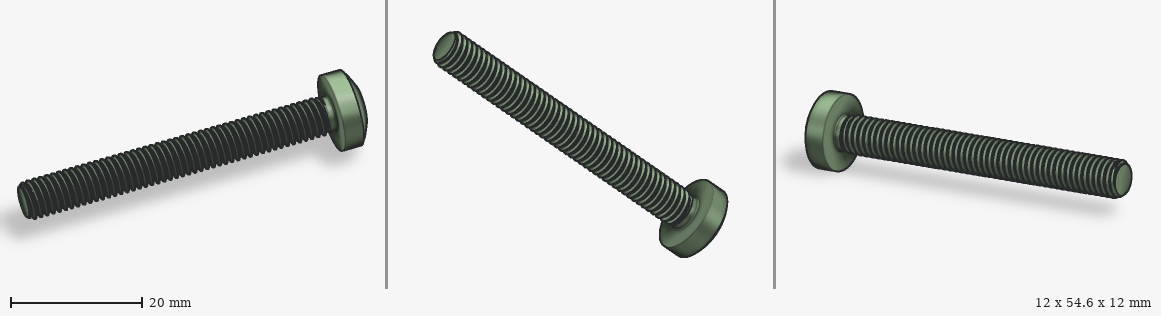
import cadquery as cq
import math

total_length = 54.6
head_diameter = 12.0
head_height = 4.6
rim_height = 3.05
crown_flat_radius = 3.3
crown_bulge = 0.1
seat_fillet = 0.3
rim_edge_fillet = 0.05
neck_diameter = 5.5
neck_length = 1.1
thread_diameter = 6.0
turns_per_shank = 50
runout_length = 1.05
tip_diameter = 4.9
tip_chamfer_length = 0.8
thread_start = -0.05
thread_depth = 0.55
ridge_embed = 0.05
crest_clearance = 0.05

shank_length = total_length - head_height
thread_pitch = shank_length / turns_per_shank

crest_width = thread_pitch / 8
flank_half_angle = math.radians(30)

head_radius = head_diameter / 2
neck_radius = neck_diameter / 2
crest_radius = thread_diameter / 2
root_radius = crest_radius - thread_depth
tip_radius = tip_diameter / 2


def make_head():
    """Round head with a flat-topped crown, joined to the neck by a small fillet."""
    crown_run = head_radius - crown_flat_radius
    crown_rise = head_height - rim_height
    chord = math.hypot(crown_run, crown_rise)
    arc_middle = (
        (head_radius + crown_flat_radius) / 2 + crown_bulge * crown_rise / chord,
        (head_height + rim_height) / 2 + crown_bulge * crown_run / chord,
    )
    arc_sag = 1 - math.sqrt(0.5)
    seat_sag = seat_fillet * arc_sag
    rim_sag = rim_edge_fillet * arc_sag
    return (
        cq.Workplane("XY")
        .moveTo(0, head_height)
        .lineTo(crown_flat_radius, head_height)
        .threePointArc(arc_middle, (head_radius, rim_height))
        .lineTo(head_radius, rim_edge_fillet)
        .threePointArc((head_radius - rim_sag, rim_sag), (head_radius - rim_edge_fillet, 0))
        .lineTo(neck_radius + seat_fillet, 0)
        .threePointArc(
            (neck_radius + seat_sag, -seat_sag),
            (neck_radius, -seat_fillet),
        )
        .lineTo(neck_radius, -neck_length)
        .lineTo(0, -neck_length)
        .close()
        .revolve(360, (0, 0, 0), (0, 1, 0))
    )


def make_core():
    """Cylinder at the thread root, from the seat to the tip."""
    return cq.Workplane("XZ").circle(root_radius).extrude(shank_length)


def make_thread_envelope():
    """Space the thread may fill: tapered where it leaves the neck and at the tip."""
    outer_radius = crest_radius + crest_clearance
    return (
        cq.Workplane("XY")
        .moveTo(0, -neck_length)
        .lineTo(neck_radius, -neck_length)
        .lineTo(outer_radius, -neck_length - runout_length)
        .lineTo(outer_radius, tip_chamfer_length - shank_length)
        .lineTo(tip_radius, -shank_length)
        .lineTo(0, -shank_length)
        .close()
        .revolve(360, (0, 0, 0), (0, 1, 0))
    )


def make_ridge():
    """Right-hand helical ridge running past both ends of the threaded length."""
    turns = turns_per_shank + 1
    inner_radius = root_radius - ridge_embed
    crest_half = crest_width / 2
    inner_half = crest_half + (crest_radius - inner_radius) * math.tan(flank_half_angle)
    path = cq.Wire.makeHelix(thread_pitch, turns * thread_pitch, root_radius)
    ridge = (
        cq.Workplane("XZ")
        .polyline([
            (inner_radius, -inner_half),
            (crest_radius, -crest_half),
            (crest_radius, crest_half),
            (inner_radius, inner_half),
        ])
        .close()
        .sweep(cq.Workplane(path), isFrenet=True)
    )
    return (
        ridge
        .rotate((0, 0, 0), (1, 0, 0), 90)
        .translate((0, thread_start, 0))
    )


thread = make_ridge().intersect(make_thread_envelope(), clean=False)
result = make_core().union(make_head()).union(thread, clean=False)